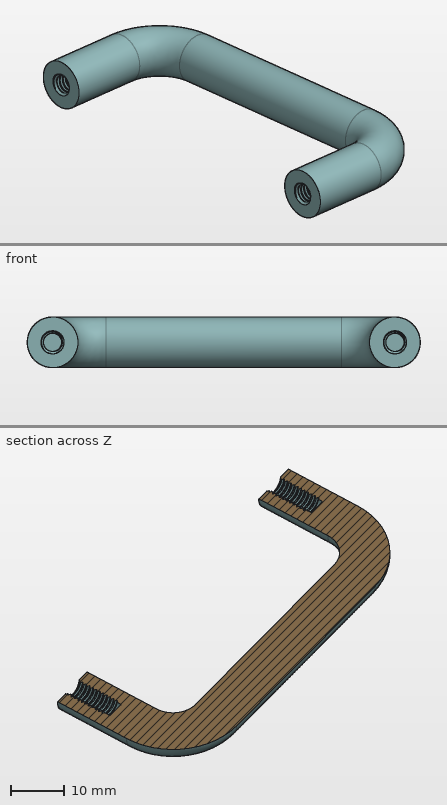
import cadquery as cq
import math

ROD_DIAMETER = 9.5
HOLE_SPACING = 64.0
HEIGHT = 30.75
BEND_RADIUS = 10.0

THREAD_MAJOR_DIAMETER = 4.17
THREAD_MINOR_DIAMETER = 3.4
THREAD_PITCH = 25.4 / 32
THREAD_DEPTH = 10.0
THREAD_ROOT_FRACTION = 1 / 8
FLANK_ANGLE = math.radians(30)
THREAD_START_ANGLE = 120
GROOVE_OVERLAP = 0.1
MOUTH_DIAMETER = 4.35

mouth_chamfer = (MOUTH_DIAMETER - THREAD_MINOR_DIAMETER) / 2
leg_x = HOLE_SPACING / 2
grip_y = HEIGHT - ROD_DIAMETER / 2
leg_length = grip_y - BEND_RADIUS
grip_half_length = leg_x - BEND_RADIUS


def make_rod():
    """Round rod swept along one leg, a bend, the grip, a bend and the other leg."""
    centreline = (
        cq.Workplane("XY")
        .moveTo(-leg_x, 0)
        .lineTo(-leg_x, leg_length)
        .radiusArc((-grip_half_length, grip_y), BEND_RADIUS)
        .lineTo(grip_half_length, grip_y)
        .radiusArc((leg_x, leg_length), BEND_RADIUS)
        .lineTo(leg_x, 0)
    )
    section = cq.Workplane("XZ", origin=(-leg_x, 0, 0)).circle(ROD_DIAMETER / 2)
    return section.sweep(centreline)


def make_thread_groove():
    """Helical trapezoidal groove along +Z, starting one pitch below Z = 0."""
    minor_radius = THREAD_MINOR_DIAMETER / 2
    root_radius = THREAD_MAJOR_DIAMETER / 2
    inner_radius = minor_radius - GROOVE_OVERLAP
    root_half_width = THREAD_PITCH * THREAD_ROOT_FRACTION / 2
    inner_half_width = root_half_width + (root_radius - inner_radius) * math.tan(FLANK_ANGLE)
    helix = cq.Wire.makeHelix(THREAD_PITCH, THREAD_DEPTH, minor_radius)
    groove = (
        cq.Workplane("XZ")
        .moveTo(inner_radius, -inner_half_width)
        .lineTo(root_radius, -root_half_width)
        .lineTo(root_radius, root_half_width)
        .lineTo(inner_radius, inner_half_width)
        .close()
        .sweep(cq.Workplane(obj=helix), isFrenet=True)
    )
    groove = groove.rotate((0, 0, 0), (0, 0, 1), THREAD_START_ANGLE)
    return groove.translate((0, 0, -THREAD_PITCH))


def cut_tapped_hole(body, x):
    """Cut a bore with a chamfered mouth and its thread groove into the leg at the given X."""
    bore = cq.Workplane("XY").circle(THREAD_MINOR_DIAMETER / 2).extrude(THREAD_DEPTH)
    mouth = cq.Workplane(
        obj=cq.Solid.makeCone(MOUTH_DIAMETER / 2, THREAD_MINOR_DIAMETER / 2, mouth_chamfer)
    )
    for cutter in (bore, mouth, make_thread_groove()):
        in_leg = cutter.rotate((0, 0, 0), (1, 0, 0), -90).translate((x, 0, 0))
        body = body.cut(in_leg)
    return body


result = make_rod()
for hole_x in (-leg_x, leg_x):
    result = cut_tapped_hole(result, hole_x)